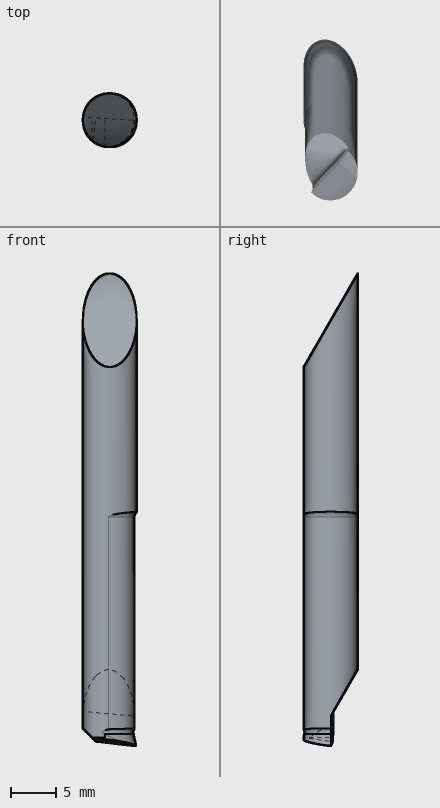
import cadquery as cq
import math


bar_diameter = 6.0
bar_radius = bar_diameter / 2
overall_length = 52.45
end_cut_angle = 60.0
margin = bar_diameter

rake_run_out_height = 3.3
rake_angle = 3.0

end_relief_angle = 7.0
back_chamfer_angle = 45.0
back_chamfer_height = 1.97
nose_radius = 0.15

neck_axis_shift = 0.25
neck_radius = bar_radius
neck_top = 25.4
neck_run_out_radius = 0.85

flank_axis_shift = 0.3
notch_radius = 2.93
notch_arc_radius = 0.8
notch_height = 1.53
flank_angle = 12.0

flank_cos = math.cos(math.radians(flank_angle))
flank_sin = math.sin(math.radians(flank_angle))
notch_centre_r = notch_radius + notch_arc_radius
flank_top_r = notch_centre_r - notch_arc_radius * flank_cos
flank_top_height = notch_height - notch_arc_radius * flank_sin
flank_offset = flank_top_r * flank_cos + flank_top_height * flank_sin
nose_centre_r = (flank_offset - nose_radius * (1 + flank_sin)) / flank_cos
nose_centre_x = nose_centre_r - flank_axis_shift

end_relief = math.radians(end_relief_angle)
end_face_height = nose_radius + nose_centre_x * math.tan(end_relief) - nose_radius / math.cos(end_relief)

tip_back_height = 0.95
flank_back_x = -0.5


def tangent(angle):
    return math.tan(math.radians(angle))


def box_between(low, high):
    sizes = [b - a for a, b in zip(low, high)]
    return cq.Workplane("XY").box(*sizes, centered=False).translate(low)


def half_space(origin, normal):
    """Large block lying on the normal side of a plane."""
    side = 3 * overall_length
    return cq.Workplane(cq.Plane(origin=origin, normal=normal)).rect(side, side).extrude(overall_length)


def inclined_bar():
    """Bar outline seen along X, with the inclined upper end and the rake run-out."""
    rise = bar_radius * tangent(end_cut_angle)
    top_front = overall_length - 2 * rise
    rake_depth = bar_diameter * tangent(rake_angle)
    run_out_foot = rake_run_out_height + rake_depth * tangent(end_cut_angle)
    outline = [
        (-bar_radius, -margin),
        (rake_depth, -margin),
        (rake_depth, run_out_foot),
        (bar_radius, rake_run_out_height + rise),
        (bar_radius, overall_length),
        (-bar_radius, top_front),
    ]
    side_shape = cq.Workplane("YZ").polyline(outline).close().extrude(bar_radius, both=True)
    bar = cq.Workplane("XY").workplane(offset=-margin).circle(bar_radius).extrude(overall_length + margin)
    return bar.intersect(side_shape)


def rake_cut():
    """Wedge above the tilted rake face, below the run-out slope."""
    wedge = half_space((bar_radius, 0, 0), (tangent(rake_angle), 1, 0))
    below_run_out = half_space((0, 0, rake_run_out_height), (0, tangent(end_cut_angle), -1))
    return wedge.intersect(below_run_out)


def end_cut():
    relief = math.tan(end_relief)
    return half_space((0, 0, end_face_height), (-relief, -relief, -1))


def chamfer_cut():
    return half_space((-bar_radius, 0, back_chamfer_height), (-tangent(back_chamfer_angle), 0, -1))


def turned_ring(profile, axis_shift):
    """Ring turned about a vertical axis at X = -axis_shift."""
    ring = profile.close().revolve(360, (0, 0, 0), (0, 1, 0))
    return ring.translate((-axis_shift, 0, 0))


def neck_cut():
    run_out_end = neck_radius + neck_run_out_radius
    diagonal = neck_run_out_radius * math.sqrt(0.5)
    profile = (
        cq.Workplane("XZ")
        .moveTo(neck_radius, notch_height)
        .lineTo(neck_radius, neck_top)
        .threePointArc(
            (run_out_end - diagonal, neck_top + diagonal),
            (run_out_end, neck_top + neck_run_out_radius),
        )
        .lineTo(run_out_end, notch_height)
    )
    return turned_ring(profile, neck_axis_shift)


def flank_cut():
    def on_nose(angle):
        radians = math.radians(angle)
        return nose_centre_r + nose_radius * math.cos(radians), nose_radius * (1 + math.sin(radians))

    nose_low_angle = -90 - end_relief_angle
    nose_low = on_nose(nose_low_angle)
    profile = (
        cq.Workplane("XZ")
        .moveTo(nose_low[0], -bar_radius)
        .lineTo(*nose_low)
        .threePointArc(on_nose((nose_low_angle + flank_angle) / 2), on_nose(flank_angle))
        .lineTo(flank_top_r, flank_top_height)
        .threePointArc((notch_radius, notch_height), (notch_centre_r, notch_height + notch_arc_radius))
        .lineTo(margin, notch_height + notch_arc_radius)
        .lineTo(margin, -bar_radius)
    )
    return turned_ring(profile, flank_axis_shift)


def whole_tool():
    tool = inclined_bar()
    for cutter in (rake_cut(), neck_cut(), flank_cut(), end_cut(), chamfer_cut()):
        tool = tool.cut(cutter)
    return tool


def tip_region():
    """Stepped region below the joint: higher over the flank, lower behind it."""
    lower = box_between((-margin, -margin, -margin), (margin, margin, tip_back_height))
    upper = box_between((flank_back_x, -margin, -margin), (margin, margin, flank_top_height))
    return lower.union(upper)


tool = whole_tool()
region = tip_region()
shank = tool.cut(region).solids()
cutting_tip = tool.intersect(region).solids()

result = cq.Compound.makeCompound([shank.val(), cutting_tip.val()])